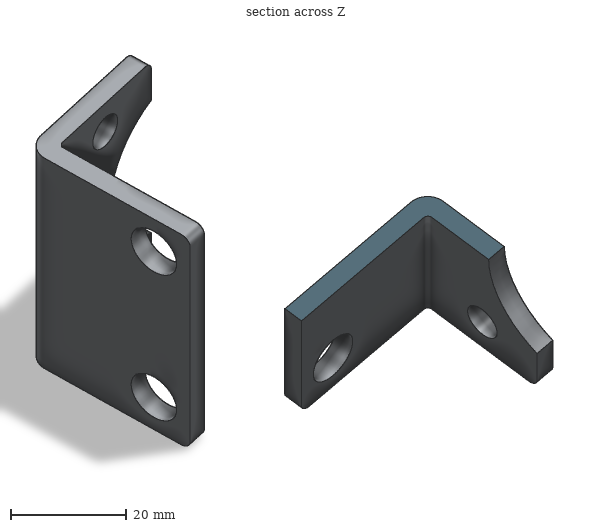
import cadquery as cq

width_x = 36.0
depth_y = 30.0
height_z = 52.0
thickness = 4.0

outer_bend_radius = 4.0
inner_bend_radius = 1.0
corner_radius = 2.0

large_hole_diameter = 10.0
large_hole_x = 28.0
large_hole_spacing = 36.0

small_hole_diameter = 7.0
small_hole_y = 17.0
small_hole_spacing = 38.0

cutout_radius = 17.5
cutout_center_y = 36.0

mid_z = height_z / 2


def make_angle():
    """L-shaped section extruded along Z, with a rounded bend and rounded free corners."""
    section = [
        (0, 0),
        (width_x, 0),
        (width_x, thickness),
        (thickness, thickness),
        (thickness, depth_y),
        (0, depth_y),
    ]
    angle = cq.Workplane("XY").polyline(section).close().extrude(height_z)
    angle = angle.edges(cq.selectors.NearestToPointSelector((0, 0, mid_z))).fillet(outer_bend_radius)
    inner_edge = cq.selectors.NearestToPointSelector((thickness, thickness, mid_z))
    angle = angle.edges(inner_edge).fillet(inner_bend_radius)
    angle = angle.faces(">X").edges("|Y").fillet(corner_radius)
    return angle.faces(">Y").edges("|X").fillet(corner_radius)


def cylinder_along_x(y, z, radius):
    """Cutter through the flange lying along Y."""
    return cq.Workplane("YZ").center(y, z).circle(radius).extrude(thickness)


def cylinder_along_y(x, z, radius):
    """Cutter through the flange lying along X."""
    return cq.Workplane("XZ").center(x, z).circle(radius).extrude(-thickness)


result = make_angle()
for side in (-1, 1):
    large_hole_z = mid_z + side * large_hole_spacing / 2
    small_hole_z = mid_z + side * small_hole_spacing / 2
    result = result.cut(cylinder_along_y(large_hole_x, large_hole_z, large_hole_diameter / 2))
    result = result.cut(cylinder_along_x(small_hole_y, small_hole_z, small_hole_diameter / 2))
result = result.cut(cylinder_along_x(cutout_center_y, mid_z, cutout_radius))